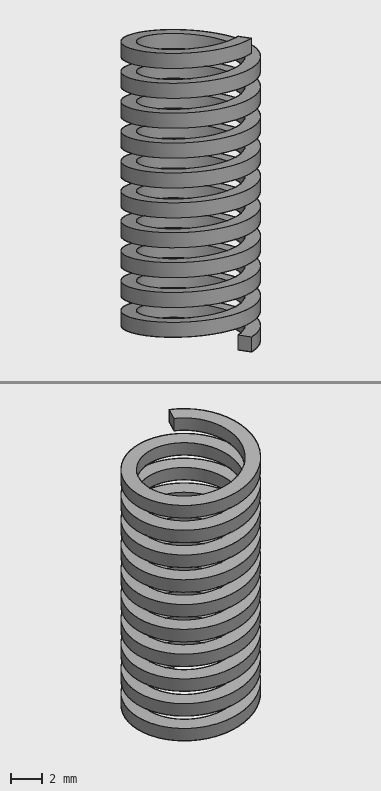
import cadquery as cq

spring_length = 21.0
outer_diameter = 9.0
inner_diameter = 7.0
turns = 10

wire_size = (outer_diameter - inner_diameter) / 2
mean_radius = (outer_diameter + inner_diameter) / 4
coil_rise = spring_length - wire_size
pitch = coil_rise / turns

centreline = cq.Wire.makeHelix(pitch, coil_rise, mean_radius).translate(cq.Vector(0, 0, wire_size / 2))

wire_section = cq.Workplane("XZ").center(mean_radius, wire_size / 2).rect(wire_size, wire_size)

result = wire_section.sweep(cq.Workplane(obj=centreline), isFrenet=True)